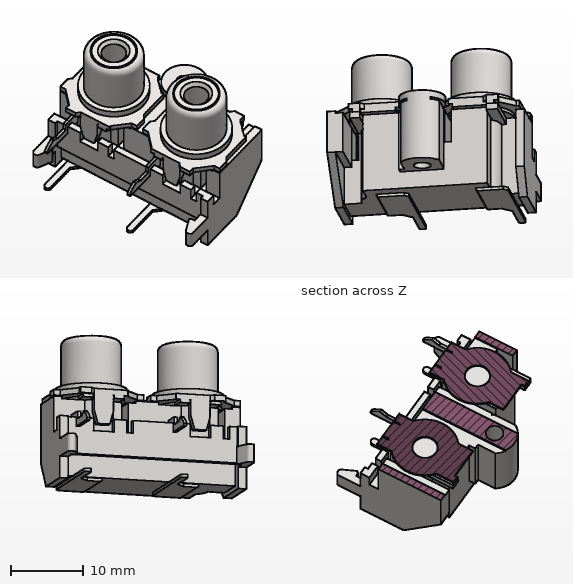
import cadquery as cq


WIDTH = 27.0
HEIGHT = 21.0
HALF_WIDTH = WIDTH / 2
JACK_X = 7.0
SIDES = (-1, 1)

BASE_Z = 0.62
LIP_Z = 3.67
SLOT_FLOOR_Z = 7.02
FRONT_WALL_TOP_Z = 8.78
BODY_TOP_Z = 11.75
RIB_TOP_Z = 12.05

WALL_THICKNESS = 1.2
LEG_FRONT_Y = -6.5
FRONT_Y = -6.0
FRONT_GAP_Y = -5.05
BODY_FRONT_Y = -3.65
REAR_Y = 5.0
LEFT_WALL_REAR_Y = 2.48
RIGHT_WALL_REAR_Y = 6.5
RIGHT_POST_X = 11.25
LEFT_CHAMFER_RUN = 2.38
LEFT_CHAMFER_RISE = 3.67
RIGHT_CHAMFER = 6.02
SLEEVE_RADIUS = 4.18
STEM_RADIUS = 2.85
REAR_BLOCK_OFFSET = 1.75
RIB_HALF_WIDTH = 1.67
THROUGH_SLOT_OFFSET = 3.78
THROUGH_SLOT_WIDTH = 0.92
TAB_NOTCH_HALF_WIDTH = 1.48
LEDGE_BOTTOM_Z = 10.85

LUG_Y = 7.02
LUG_RADIUS = 3.25
LUG_HOLE_RADIUS = 1.2
LUG_HALF_WIDTH = 2.73
LUG_BOTTOM_Z = 3.05
GUSSET_X = 3.48
GUSSET_REAR_Y = 6.0

HOOK_BOTTOM_Z = 3.02
HOOK_HEIGHT = 2.5
HOOK_TIP_Y = -10.48
HOOK_CATCH_Y = -7.95
HOOK_BARB = 0.78
HOOK_BARB_FLAT = 0.55
HOOK_BARB_NOSE = 0.27
HOOK_TIP_WIDTH = 0.95
HOOK_TIP_RADIUS = 0.49

PIN_THICKNESS = 0.43
PIN_TIP_Y = -11.0
UPPER_PIN_OFFSET = -3.75
UPPER_PIN_BOTTOM_Z = 7.48
UPPER_PIN_ROOT_TOP_Z = 9.53
UPPER_PIN_TOP_Z = 8.5
UPPER_PIN_KINK_Y = -8.35
UPPER_PIN_BUMP_Y = -9.48
UPPER_PIN_BUMP_Z = 9.02
UPPER_PIN_SHOULDER_Y = -10.6
UPPER_PIN_SHOULDER_Z = 8.24
UPPER_PIN_NOSE_Z = 7.8
UPPER_PIN_TIP_BOTTOM_Y = -10.85
LOWER_PIN_OFFSET = -3.75
LOWER_PIN_WIDTH = 1.0
LOWER_PLATE_RIGHT = 0.2
LOWER_PLATE_REAR_Y = 3.2
LOWER_PLATE_CORNER = 0.55
LOWER_PLATE_FRONT_Y = -4.65
LOWER_PLATE_RAMP = 1.25
LOWER_PLATE_BEND_RADIUS = 0.38

PLATE_BOTTOM_Z = 12.2
PLATE_TOP_Z = 13.0
COLLAR_TOP_Z = 14.0
COLLAR_RADIUS = 4.97
BARREL_RADIUS = 4.18
BARREL_FILLET = 0.95
GROOVE_OUTER_RADIUS = 3.25
GROOVE_INNER_RADIUS = 3.08
GROOVE_DEPTH = 0.1
MOUTH_RADIUS = 2.21
BORE_RADIUS = 1.73
MOUTH_DEPTH = 0.49

PLATE_SIDE = 6.02
PLATE_EDGE = 6.0
PLATE_EAR = 6.5
EAR_REAR_Y = -1.38
CORNER_X = 3.5
CORNER_SIDE_X = 5.6
REAR_CORNER_Y = (5.5, 3.48)
FRONT_CORNER_Y = (-5.72, -3.65)
EAR_INNER_X = 1.9

SPACER_RADIUS = 4.7
SPACER_HALF_WIDTH = 2.97
TAB_HALF_WIDTH = 1.4
TAB_TIP_HALF_WIDTH = 0.86
TAB_THICKNESS = 1.0
TAB_RELIEF_WIDTH = 0.1
TAB_TAPER_Z = 10.0
TAB_TIP_Z = 8.07


def block(x, y, z):
    """Box between the given (low, high) pairs; each pair may be in either order."""
    lows = [min(pair) for pair in (x, y, z)]
    sizes = [abs(pair[1] - pair[0]) for pair in (x, y, z)]
    return cq.Workplane("XY").box(*sizes, centered=False).translate(tuple(lows))


def cylinder(x, y, radius, bottom, top):
    return cq.Workplane("XY", origin=(x, y, bottom)).circle(radius).extrude(top - bottom)


def side_wall(side, rear_y, run, rise):
    """End wall with its leg; the lower rear corner is cut off and a front slot parts the leg."""
    profile = [
        (LEG_FRONT_Y, 0),
        (rear_y - run, 0),
        (rear_y, rise),
        (rear_y, RIB_TOP_Z),
        (BODY_FRONT_Y, RIB_TOP_Z),
        (BODY_FRONT_Y, SLOT_FLOOR_Z),
        (FRONT_GAP_Y, SLOT_FLOOR_Z),
        (FRONT_GAP_Y, FRONT_WALL_TOP_Z),
        (LEG_FRONT_Y, FRONT_WALL_TOP_Z),
    ]
    inner_x = HALF_WIDTH - WALL_THICKNESS
    start_x = -HALF_WIDTH if side < 0 else inner_x
    return cq.Workplane("YZ", origin=(start_x, 0, 0)).polyline(profile).close().extrude(WALL_THICKNESS)


def right_rear_post():
    """Thickening inside the right wall's rear end, above the cut lower corner."""
    post_x = (RIGHT_POST_X, HALF_WIDTH - WALL_THICKNESS)
    return block(post_x, (0, RIGHT_WALL_REAR_Y), (RIGHT_CHAMFER, BODY_TOP_Z))


def front_bulge(jack_x):
    """Front half of a round sleeve, standing proud of the body's front face above the gap floor."""
    sleeve = cylinder(jack_x, 0, SLEEVE_RADIUS, SLOT_FLOOR_Z, BODY_TOP_Z)
    span = (jack_x - SLEEVE_RADIUS, jack_x + SLEEVE_RADIUS)
    return sleeve.intersect(block(span, (-SLEEVE_RADIUS, 0), (SLOT_FLOOR_Z, BODY_TOP_Z)))


def lug():
    """Screw lug: a round head on a column whose sides are cut flat."""
    body = cylinder(0, LUG_Y, LUG_RADIUS, LUG_BOTTOM_Z, PLATE_TOP_Z)
    reach = (LUG_Y - LUG_RADIUS, LUG_Y + LUG_RADIUS)
    for side in SIDES:
        outside = side * LUG_RADIUS
        body = body.cut(block((side * LUG_HALF_WIDTH, outside), reach, (LUG_BOTTOM_Z, BODY_TOP_Z)))
        body = body.cut(block((side * RIB_HALF_WIDTH, outside), reach, (BODY_TOP_Z, RIB_TOP_Z)))
    return body


def hook(side):
    """Snap hook reaching forward from a leg, its barb facing inward."""
    outer = side * HALF_WIDTH
    inner = outer - side * WALL_THICKNESS
    barb = inner - side * HOOK_BARB
    outline = [
        (outer, LEG_FRONT_Y),
        (inner, LEG_FRONT_Y),
        (inner, HOOK_CATCH_Y),
        (inner - side * HOOK_BARB_FLAT, HOOK_CATCH_Y),
        (barb, HOOK_CATCH_Y - HOOK_BARB_NOSE),
        (outer - side * HOOK_TIP_WIDTH, HOOK_TIP_Y),
        (outer, HOOK_TIP_Y),
    ]
    body = cq.Workplane("XY", origin=(0, 0, HOOK_BOTTOM_Z)).polyline(outline).close().extrude(HOOK_HEIGHT)
    return body.edges("|Z and <Y").fillet(HOOK_TIP_RADIUS)


def upper_pin(jack_x):
    """Flat upright terminal leaving the body through the front wall, with a kinked tip."""
    profile = [
        (BODY_FRONT_Y, UPPER_PIN_BOTTOM_Z),
        (BODY_FRONT_Y, UPPER_PIN_ROOT_TOP_Z),
        (LEG_FRONT_Y, UPPER_PIN_ROOT_TOP_Z),
        (LEG_FRONT_Y, UPPER_PIN_TOP_Z),
        (UPPER_PIN_KINK_Y, UPPER_PIN_TOP_Z),
        (UPPER_PIN_BUMP_Y, UPPER_PIN_BUMP_Z),
        (UPPER_PIN_SHOULDER_Y, UPPER_PIN_SHOULDER_Z),
        (PIN_TIP_Y, UPPER_PIN_NOSE_Z),
        (UPPER_PIN_TIP_BOTTOM_Y, UPPER_PIN_BOTTOM_Z),
    ]
    start_x = jack_x + UPPER_PIN_OFFSET - PIN_THICKNESS / 2
    return cq.Workplane("YZ", origin=(start_x, 0, 0)).polyline(profile).close().extrude(PIN_THICKNESS)


def lower_pin(jack_x):
    """Flat terminal under the housing: a plate below the jack narrowing to a round-ended prong."""
    left = LOWER_PIN_OFFSET - LOWER_PIN_WIDTH / 2
    right = LOWER_PIN_OFFSET + LOWER_PIN_WIDTH / 2
    tip_start_y = PIN_TIP_Y + LOWER_PIN_WIDTH / 2
    plate = (
        cq.Workplane("XY", origin=(jack_x, 0, BASE_Z))
        .moveTo(left, tip_start_y)
        .threePointArc((LOWER_PIN_OFFSET, PIN_TIP_Y), (right, tip_start_y))
        .lineTo(right, LOWER_PLATE_FRONT_Y - LOWER_PLATE_RAMP)
        .lineTo(right + LOWER_PLATE_RAMP, LOWER_PLATE_FRONT_Y)
        .lineTo(LOWER_PLATE_RIGHT, LOWER_PLATE_FRONT_Y)
        .lineTo(LOWER_PLATE_RIGHT, LOWER_PLATE_REAR_Y)
        .lineTo(left + LOWER_PLATE_CORNER, LOWER_PLATE_REAR_Y)
        .lineTo(left, LOWER_PLATE_REAR_Y - LOWER_PLATE_CORNER)
        .close()
        .extrude(-PIN_THICKNESS)
    )
    return plate.edges("<Z and >X").fillet(LOWER_PLATE_BEND_RADIUS)


def build_housing():
    inner = HALF_WIDTH - WALL_THICKNESS
    between_walls = (-inner, inner)
    rear_half_width = JACK_X + REAR_BLOCK_OFFSET

    body = block(between_walls, (BODY_FRONT_Y, 0), (BASE_Z, BODY_TOP_Z))
    body = body.union(block(between_walls, (FRONT_GAP_Y, 0), (BASE_Z, SLOT_FLOOR_Z)))
    body = body.union(block(between_walls, (FRONT_Y, FRONT_GAP_Y), (LIP_Z, FRONT_WALL_TOP_Z)))
    body = body.union(block((-rear_half_width, rear_half_width), (0, REAR_Y), (BASE_Z, BODY_TOP_Z)))

    for side in SIDES:
        jack_x = side * JACK_X
        body = body.union(front_bulge(jack_x))
        body = body.union(cylinder(jack_x, 0, STEM_RADIUS, BASE_Z, BODY_TOP_Z))
        ledge_x = (jack_x + side * EAR_INNER_X, jack_x + side * CORNER_X)
        body = body.union(block(ledge_x, (0, PLATE_EAR), (LEDGE_BOTTOM_Z, BODY_TOP_Z)))

    for side in SIDES:
        jack_x = side * JACK_X
        slot_x = jack_x + THROUGH_SLOT_OFFSET
        slot_range = (slot_x - THROUGH_SLOT_WIDTH / 2, slot_x + THROUGH_SLOT_WIDTH / 2)
        body = body.cut(block(slot_range, (FRONT_Y, PLATE_EAR), (SLOT_FLOOR_Z, BODY_TOP_Z)))
        notch_range = (jack_x - TAB_NOTCH_HALF_WIDTH, jack_x + TAB_NOTCH_HALF_WIDTH)
        body = body.cut(block(notch_range, (FRONT_Y, FRONT_GAP_Y), (SLOT_FLOOR_Z, FRONT_WALL_TOP_Z)))

    body = body.union(side_wall(-1, LEFT_WALL_REAR_Y, LEFT_CHAMFER_RUN, LEFT_CHAMFER_RISE))
    body = body.union(side_wall(1, RIGHT_WALL_REAR_Y, RIGHT_CHAMFER, RIGHT_CHAMFER))
    body = body.union(right_rear_post())
    rib_x = (-RIB_HALF_WIDTH, RIB_HALF_WIDTH)
    body = body.union(block(rib_x, (BODY_FRONT_Y, LUG_Y), (BODY_TOP_Z, RIB_TOP_Z)))
    body = body.union(lug())
    body = body.union(block((0, GUSSET_X), (LUG_Y - LUG_RADIUS, GUSSET_REAR_Y), (LUG_BOTTOM_Z, BODY_TOP_Z)))
    body = body.cut(cylinder(0, LUG_Y, LUG_HOLE_RADIUS, 0, HEIGHT))

    for side in SIDES:
        body = body.union(hook(side))
        body = body.union(upper_pin(side * JACK_X))
        body = body.union(lower_pin(side * JACK_X))
    return body


def mounting_plate():
    """Cut-corner plate of the left jack, with ears at the front, rear and both sides."""
    ear_step = PLATE_EAR - PLATE_EDGE
    rear_y, rear_side_y = REAR_CORNER_Y
    front_y, front_side_y = FRONT_CORNER_Y
    outline = [
        (-CORNER_X, PLATE_EAR),
        (-EAR_INNER_X, PLATE_EAR),
        (-EAR_INNER_X + ear_step, PLATE_EDGE),
        (CORNER_X, PLATE_EDGE),
        (CORNER_X, rear_y),
        (CORNER_SIDE_X, rear_side_y),
        (PLATE_SIDE, rear_side_y),
        (PLATE_SIDE, EAR_REAR_Y),
        (PLATE_EAR, EAR_REAR_Y - ear_step),
        (PLATE_EAR, front_side_y),
        (CORNER_SIDE_X, front_side_y),
        (CORNER_X, front_y),
        (CORNER_X, -PLATE_EDGE),
        (-EAR_INNER_X + ear_step, -PLATE_EDGE),
        (-EAR_INNER_X, -PLATE_EAR),
        (-CORNER_X, -PLATE_EAR),
        (-CORNER_X, front_y),
        (-CORNER_SIDE_X, front_side_y),
        (-PLATE_EAR, front_side_y),
        (-PLATE_EAR, EAR_REAR_Y - ear_step),
        (-PLATE_SIDE, EAR_REAR_Y),
        (-PLATE_SIDE, rear_side_y),
        (-CORNER_SIDE_X, rear_side_y),
        (-CORNER_X, rear_y),
    ]
    thickness = PLATE_TOP_Z - PLATE_BOTTOM_Z
    return cq.Workplane("XY", origin=(0, 0, PLATE_BOTTOM_Z)).polyline(outline).close().extrude(thickness)


def spacer():
    """Layer between plate and housing: a disc crossed by a strip that reaches under the rear ear.

    Narrow reliefs part the strip on both sides of the front tab.
    """
    level = (BODY_TOP_Z, PLATE_BOTTOM_Z)
    body = cylinder(0, 0, SPACER_RADIUS, *level)
    body = body.union(block((-SPACER_HALF_WIDTH, SPACER_HALF_WIDTH), (-PLATE_EDGE, PLATE_EDGE), level))
    for side in SIDES:
        relief_x = (side * TAB_HALF_WIDTH, side * (TAB_HALF_WIDTH + TAB_RELIEF_WIDTH))
        body = body.cut(block(relief_x, (-PLATE_EDGE, TAB_THICKNESS - PLATE_EDGE), level))
    return body.union(block((-SPACER_HALF_WIDTH, -EAR_INNER_X), (0, PLATE_EAR), level))


def front_tab():
    """Tongue hanging from the plate's front edge into the housing notch, tapered at the end."""
    profile = [
        (-TAB_HALF_WIDTH, PLATE_BOTTOM_Z),
        (-TAB_HALF_WIDTH, TAB_TAPER_Z),
        (-TAB_TIP_HALF_WIDTH, TAB_TIP_Z),
        (TAB_TIP_HALF_WIDTH, TAB_TIP_Z),
        (TAB_HALF_WIDTH, TAB_TAPER_Z),
        (TAB_HALF_WIDTH, PLATE_BOTTOM_Z),
    ]
    return cq.Workplane("XZ", origin=(0, -PLATE_EDGE, 0)).polyline(profile).close().extrude(-TAB_THICKNESS)


def barrel():
    """Round socket with a rounded rim, on its wider collar."""
    body = cylinder(0, 0, BARREL_RADIUS, PLATE_TOP_Z, HEIGHT).faces(">Z").edges().fillet(BARREL_FILLET)
    groove = (
        cq.Workplane("XY", origin=(0, 0, HEIGHT))
        .circle(GROOVE_OUTER_RADIUS)
        .circle(GROOVE_INNER_RADIUS)
        .extrude(-GROOVE_DEPTH)
    )
    return body.cut(groove).union(cylinder(0, 0, COLLAR_RADIUS, PLATE_TOP_Z, COLLAR_TOP_Z))


def bore():
    """Central bore through the jack, widened to a cone at the mouth."""
    hole = cylinder(0, 0, BORE_RADIUS, BODY_TOP_Z, HEIGHT)
    mouth = cq.Solid.makeCone(BORE_RADIUS, MOUTH_RADIUS, MOUTH_DEPTH, cq.Vector(0, 0, HEIGHT - MOUTH_DEPTH))
    return hole.union(cq.Workplane(mouth))


def build_jack(side):
    """One jack; the right one carries the mirrored plate of the left one."""
    body = mounting_plate().union(spacer()).union(front_tab()).union(barrel()).cut(bore())
    if side > 0:
        body = body.mirror("YZ")
    return body.translate((side * JACK_X, 0, 0))


housing = build_housing()
jacks = [build_jack(side) for side in SIDES]
result = cq.Compound.makeCompound([housing.val(), *[jack.val() for jack in jacks]])